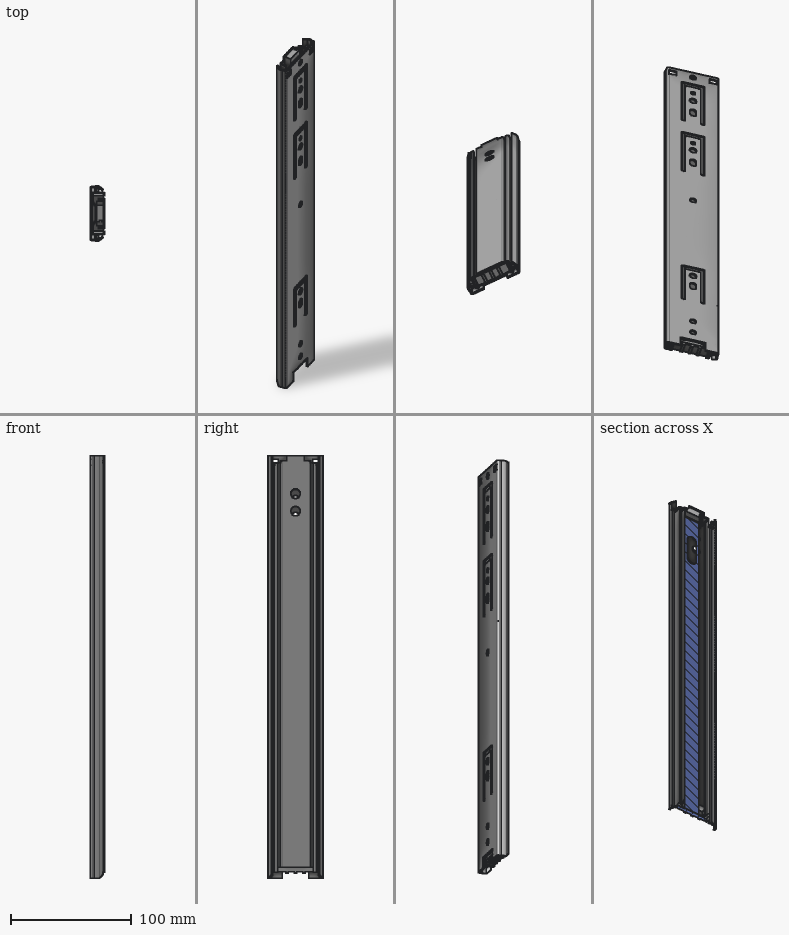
import cadquery as cq

LENGTH = 350
DEPTH = 12.2
WIDTH = 46.0
SHEET = 1.22
EPS = 0.5

BULGE_PEAK_Y = WIDTH / 2
FLANGE_Y = BULGE_PEAK_Y - 0.52
BEND_RADIUS = 1.58
BULGE_START_X = 3.5
BULGE_END_X = 7.7
LIP_END_X = 11.0
LIP_END_Y = 20.0
LIP_CUT = 4.5
NOTCH_WIDTH = 21.7
NOTCH_HEIGHT = 9.5
WINDOW_INNER_Y = 14.5
WINDOW_OUTER_Y = 20.5
WINDOW_BOTTOM = 342.0
WINDOW_TOP = 347.0

SLOT_OUTER_Y = 10.0
SLOT_INNER_Y = 6.5
SLOT_CROSS_HEIGHT = 4.2
SLOT_CORNER_RADIUS = 1.58
PAD_SLOTS = [(335.3, 286.3), (271.5, 222.0), (102.0, 58.8)]

PILOT_DIAMETER = 4.0
PILOT_HOLES = [323.8, 260.0]
SCREW_DIAMETER = 6.0
SCREW_HOLES = [314.0, 251.0, 91]
LONG_HOLE_WIDTH = 5.5
LONG_HOLE_HEIGHT = 8.5
LONG_HOLES = [299.0, 235.2, 78.0]
ROUND_DIAMETER = 5.2
ROUND_HOLES = [343.7, 187.2, 33.2, 19.2]

MIDDLE_TOP = 344.0
MIDDLE_BOTTOM = 5.0
MIDDLE_SIDE_X = 1.5
MIDDLE_CENTRE_X = 4.2
MIDDLE_CENTRE_Y = 6.0
MIDDLE_SLOPE_END_Y = 9.0
MIDDLE_Y = 17.5
MIDDLE_LIP_Y = 14.7
ACCESS_WIDTH = 8.5
ACCESS_BOTTOM = 294
ACCESS_TOP = 323.8

INNER_SHOULDER_Z = 345.8
INNER_TAB_WIDTH = 14.7
INNER_Y = 12.5
INNER_FLANGE_X = 6.5
INNER_CORNER_RADIUS = 1.0
INNER_HOLE_DIAMETER = 7.7
INNER_HOLES = [318.5, 304.0]

RETAINER_BACK_X = 3.32
RETAINER_FRONT_X = 7.5
RETAINER_INNER_Y = 18.0
RETAINER_OUTER_Y = 20.5
RETAINER_CHANNEL_START_X = 4.0
RETAINER_CHANNEL_END_X = 5.2
RETAINER_WEB = 0.88

CAVITY_BACK_X = MIDDLE_CENTRE_X + SHEET
CAVITY_FRONT_X = DEPTH - SHEET
LATCH_WIDTH = 13.5
LATCH_HEIGHT = 14
LATCH_GROOVE_X = 7.7
LATCH_GROOVE_WIDTH = 2.0
LATCH_GROOVE_DEPTH = 1.5
BUMPER_BASE_X = 1.58
BUMPER_UNDERCUT_X = 2.98
BUMPER_UNDERCUT_Z = 7.5
BUMPER_BASE_WIDTH = 29.5
BUMPER_PLUG_WIDTH = 20.3
BUMPER_BOTTOM = 5.2
BUMPER_BASE_TOP = 9.0
BUMPER_TOP = 14
FOOT_SPACING = 7
FOOT_WIDTH = 2.0
FOOT_HEIGHT = 1.0


def box(x, y, z):
    """Box spanning the given (low, high) pairs along each axis."""
    size = (x[1] - x[0], y[1] - y[0], z[1] - z[0])
    return cq.Workplane("XY").box(*size, centered=False).translate((x[0], y[0], z[0]))


def both_sides(half):
    """Joins a +Y half with its mirror image."""
    return half.union(half.mirror("XZ")).clean()


def cylinder_along_x(diameter, z, depth=DEPTH):
    """Drill along +X on the centre line, starting just behind the rails."""
    return cq.Workplane("YZ", origin=(-EPS, 0, z)).circle(diameter / 2).extrude(depth + 2 * EPS)


def obround_along_x(width, height, z, depth):
    """Upright round-ended cutter on the centre line, running along +X."""
    plane = cq.Workplane("YZ", origin=(-EPS, 0, z))
    return plane.slot2D(height, width, 90).extrude(depth + 2 * EPS)


def outer_section():
    """+Y half of the outer rail: back, bent corner, bulged ball race and inclined lip."""
    inside_y = FLANGE_Y - SHEET
    bulge_x = (BULGE_START_X + BULGE_END_X) / 2
    lip_dx = LIP_END_X - BULGE_END_X
    lip_dy = FLANGE_Y - LIP_END_Y
    lip_length = (lip_dx**2 + lip_dy**2) ** 0.5
    offset_x = SHEET * lip_dy / lip_length
    offset_y = SHEET * lip_dx / lip_length
    return (
        cq.Workplane("XY")
        .moveTo(0, 0)
        .lineTo(0, FLANGE_Y - BEND_RADIUS)
        .radiusArc((BEND_RADIUS, FLANGE_Y), BEND_RADIUS)
        .lineTo(BULGE_START_X, FLANGE_Y)
        .threePointArc((bulge_x, BULGE_PEAK_Y), (BULGE_END_X, FLANGE_Y))
        .lineTo(LIP_END_X, LIP_END_Y)
        .lineTo(LIP_END_X - offset_x, LIP_END_Y - offset_y)
        .lineTo(BULGE_END_X - offset_x, FLANGE_Y - offset_y)
        .threePointArc((bulge_x, BULGE_PEAK_Y - SHEET), (BULGE_START_X, inside_y))
        .lineTo(SHEET, inside_y)
        .lineTo(SHEET, 0)
        .close()
    )


def pad_slot(top, bottom):
    """U-shaped cutter: two legs with rounded lower ends, joined by a cross slot at the top."""
    x_span = (-EPS, SHEET + EPS)
    leg = box(x_span, (SLOT_INNER_Y, SLOT_OUTER_Y), (bottom, top))
    leg = leg.faces("<Z").edges("|X").fillet(SLOT_CORNER_RADIUS)
    cross = box(x_span, (0, SLOT_OUTER_Y), (top - SLOT_CROSS_HEIGHT, top))
    return both_sides(leg.union(cross)).faces(">Z").edges("|X").fillet(SLOT_CORNER_RADIUS)


def make_outer_rail():
    rail = both_sides(outer_section().extrude(LENGTH))

    for top, bottom in PAD_SLOTS:
        rail = rail.cut(pad_slot(top, bottom))
    for diameter, heights in (
        (PILOT_DIAMETER, PILOT_HOLES),
        (SCREW_DIAMETER, SCREW_HOLES),
        (ROUND_DIAMETER, ROUND_HOLES),
    ):
        for z in heights:
            rail = rail.cut(cylinder_along_x(diameter, z, SHEET))
    for z in LONG_HOLES:
        rail = rail.cut(obround_along_x(LONG_HOLE_WIDTH, LONG_HOLE_HEIGHT, z, SHEET))

    x_span = (-EPS, SHEET + EPS)
    window = box(x_span, (WINDOW_INNER_Y, WINDOW_OUTER_Y), (WINDOW_BOTTOM, WINDOW_TOP))
    rail = rail.cut(both_sides(window))
    rail = rail.cut(box(x_span, (-NOTCH_WIDTH / 2, NOTCH_WIDTH / 2), (-EPS, NOTCH_HEIGHT)))

    lip_trim = (
        cq.Workplane("XZ")
        .moveTo(BULGE_END_X, 0)
        .lineTo(BULGE_END_X + LIP_CUT, LIP_CUT)
        .lineTo(BULGE_END_X + LIP_CUT, 0)
        .close()
        .extrude(WIDTH, both=True)
    )
    return rail.cut(lip_trim)


def middle_section():
    """+Y half of the middle rail: recessed centre, slope, side strip, flange and front lip."""
    slope_run = MIDDLE_SLOPE_END_Y - MIDDLE_CENTRE_Y
    slope_rise = MIDDLE_CENTRE_X - MIDDLE_SIDE_X
    slope_length = (slope_run**2 + slope_rise**2) ** 0.5
    shift = SHEET * (slope_length - slope_run) / slope_rise
    inside_y = MIDDLE_Y - SHEET
    return (
        cq.Workplane("XY")
        .moveTo(MIDDLE_CENTRE_X, 0)
        .lineTo(MIDDLE_CENTRE_X, MIDDLE_CENTRE_Y)
        .lineTo(MIDDLE_SIDE_X, MIDDLE_SLOPE_END_Y)
        .lineTo(MIDDLE_SIDE_X, inside_y)
        .radiusArc((MIDDLE_SIDE_X + SHEET, MIDDLE_Y), SHEET)
        .lineTo(DEPTH - SHEET, MIDDLE_Y)
        .radiusArc((DEPTH, inside_y), SHEET)
        .lineTo(DEPTH, MIDDLE_LIP_Y)
        .lineTo(DEPTH - SHEET, MIDDLE_LIP_Y)
        .lineTo(DEPTH - SHEET, inside_y)
        .lineTo(MIDDLE_SIDE_X + SHEET, inside_y)
        .lineTo(MIDDLE_SIDE_X + SHEET, MIDDLE_SLOPE_END_Y + shift)
        .lineTo(CAVITY_BACK_X, MIDDLE_CENTRE_Y + shift)
        .lineTo(CAVITY_BACK_X, 0)
        .close()
    )


def make_middle_rail():
    half = middle_section().extrude(MIDDLE_TOP - MIDDLE_BOTTOM).translate((0, 0, MIDDLE_BOTTOM))
    rail = both_sides(half)
    access_height = ACCESS_TOP - ACCESS_BOTTOM
    access_z = (ACCESS_TOP + ACCESS_BOTTOM) / 2
    rail = rail.cut(obround_along_x(ACCESS_WIDTH, access_height, access_z, CAVITY_BACK_X))
    bumper_recess = box(
        (0, CAVITY_BACK_X + EPS),
        (-BUMPER_BASE_WIDTH / 2, BUMPER_BASE_WIDTH / 2),
        (MIDDLE_BOTTOM - EPS, BUMPER_BASE_TOP),
    )
    return rail.cut(bumper_recess)


def make_inner_rail():
    """Channel that opens towards the middle rail, with a tab at the top of its face."""
    z_span = (BUMPER_BASE_TOP, LENGTH)
    rail = box((INNER_FLANGE_X, DEPTH), (-INNER_Y, INNER_Y), z_span)
    rail = rail.faces(">X").edges("|Z").fillet(INNER_CORNER_RADIUS)
    inside_y = INNER_Y - SHEET
    channel_z = (BUMPER_BASE_TOP - EPS, LENGTH + EPS)
    channel_x = (INNER_FLANGE_X - EPS, CAVITY_FRONT_X)
    rail = rail.cut(box(channel_x, (-inside_y, inside_y), channel_z))
    shoulder = box(
        (INNER_FLANGE_X - EPS, DEPTH + EPS),
        (INNER_TAB_WIDTH / 2, INNER_Y + EPS),
        (INNER_SHOULDER_Z, LENGTH + EPS),
    )
    rail = rail.cut(both_sides(shoulder))
    for z in INNER_HOLES:
        rail = rail.cut(cylinder_along_x(INNER_HOLE_DIAMETER, z))
    return rail


def make_ball_retainer(side):
    """Channel-shaped strip in the ball race; side is 1 for +Y and -1 for -Y."""
    y_span = (RETAINER_INNER_Y, RETAINER_OUTER_Y)
    z_span = (MIDDLE_BOTTOM, MIDDLE_TOP)
    strip = box((RETAINER_BACK_X, RETAINER_FRONT_X), y_span, z_span)
    channel = box(
        (RETAINER_CHANNEL_START_X, RETAINER_CHANNEL_END_X),
        (RETAINER_INNER_Y - EPS, RETAINER_OUTER_Y - RETAINER_WEB),
        (MIDDLE_BOTTOM - EPS, MIDDLE_TOP + EPS),
    )
    strip = strip.cut(channel)
    return strip if side > 0 else strip.mirror("XZ")


def make_latch():
    """Block at the top end, with an upright groove in its -Y side."""
    low_y = -LATCH_WIDTH / 2
    low_z = LENGTH - LATCH_HEIGHT
    latch = box((CAVITY_BACK_X, CAVITY_FRONT_X), (low_y, -low_y), (low_z, LENGTH))
    groove = box(
        (LATCH_GROOVE_X, LATCH_GROOVE_X + LATCH_GROOVE_WIDTH),
        (low_y - EPS, low_y + LATCH_GROOVE_DEPTH),
        (low_z - EPS, LENGTH + EPS),
    )
    return latch.cut(groove)


def make_bumper():
    """Base under the ends of the rails, on three feet, with a plug into the cavity above it."""
    plug_y = BUMPER_PLUG_WIDTH / 2
    bumper = (
        cq.Workplane("XZ")
        .moveTo(BUMPER_UNDERCUT_X, BUMPER_BOTTOM)
        .lineTo(BUMPER_UNDERCUT_X, BUMPER_UNDERCUT_Z)
        .lineTo(BUMPER_BASE_X, BUMPER_BASE_TOP)
        .lineTo(CAVITY_FRONT_X, BUMPER_BASE_TOP)
        .lineTo(CAVITY_FRONT_X, BUMPER_BOTTOM)
        .close()
        .extrude(BUMPER_BASE_WIDTH / 2, both=True)
    )
    plug_x = (CAVITY_BACK_X, CAVITY_FRONT_X)
    bumper = bumper.union(box(plug_x, (-plug_y, plug_y), (BUMPER_BASE_TOP, BUMPER_TOP)))
    foot_x = (BUMPER_UNDERCUT_X, CAVITY_FRONT_X)
    foot_z = (BUMPER_BOTTOM - FOOT_HEIGHT, BUMPER_BOTTOM)
    for y in (-FOOT_SPACING, 0, FOOT_SPACING):
        y_span = (y - FOOT_WIDTH / 2, y + FOOT_WIDTH / 2)
        foot = box(foot_x, y_span, foot_z)
        bumper = bumper.union(foot)
    return bumper


outer_rail = make_outer_rail()
middle_rail = make_middle_rail()
inner_rail = make_inner_rail()
ball_retainers = [make_ball_retainer(side) for side in (1, -1)]
latch = make_latch()
bumper = make_bumper()

result = cq.Compound.makeCompound(
    [
        outer_rail.val(),
        middle_rail.val(),
        inner_rail.val(),
        *[retainer.val() for retainer in ball_retainers],
        latch.val(),
        bumper.val(),
    ]
)